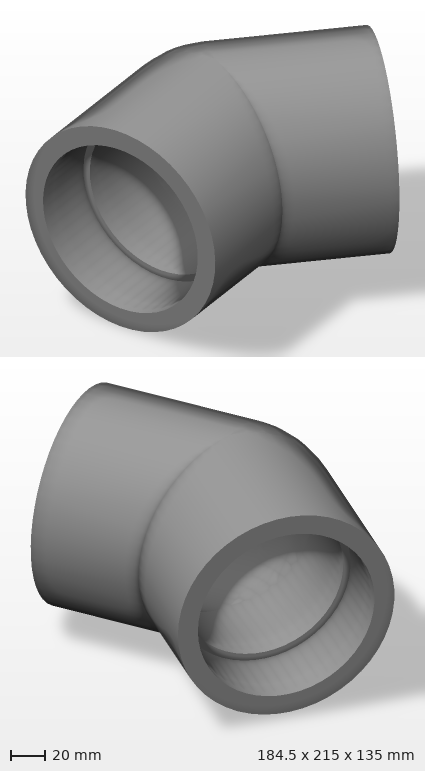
import cadquery as cq
import math

overall_length = 215.0
bend_angle = 45.0
outer_radius = 67.5
bore_radius = 50.5
socket_radius = 55.0
socket_depth = 42.1

bend_cos = math.cos(math.radians(bend_angle))
bend_sin = math.sin(math.radians(bend_angle))
leg_length = (overall_length - outer_radius * bend_sin) / (1 + bend_cos)

inlet_direction = cq.Vector(0, -1, 0)
outlet_direction = cq.Vector(bend_sin, bend_cos, 0)
leg_directions = (inlet_direction, outlet_direction)


def leg_cylinder(radius, direction, start, length):
    """Cylinder along a leg, starting at a distance from the bend centre."""
    return cq.Workplane(cq.Solid.makeCylinder(radius, length, direction * start, direction))


def bent_rod(radius):
    """Two solid legs joined by a ball at the bend centre."""
    rod = cq.Workplane("XY").sphere(radius)
    for direction in leg_directions:
        rod = rod.union(leg_cylinder(radius, direction, 0, leg_length))
    return rod


result = bent_rod(outer_radius).cut(bent_rod(bore_radius))

for leg_direction in leg_directions:
    socket = leg_cylinder(socket_radius, leg_direction, leg_length - socket_depth, socket_depth)
    result = result.cut(socket)